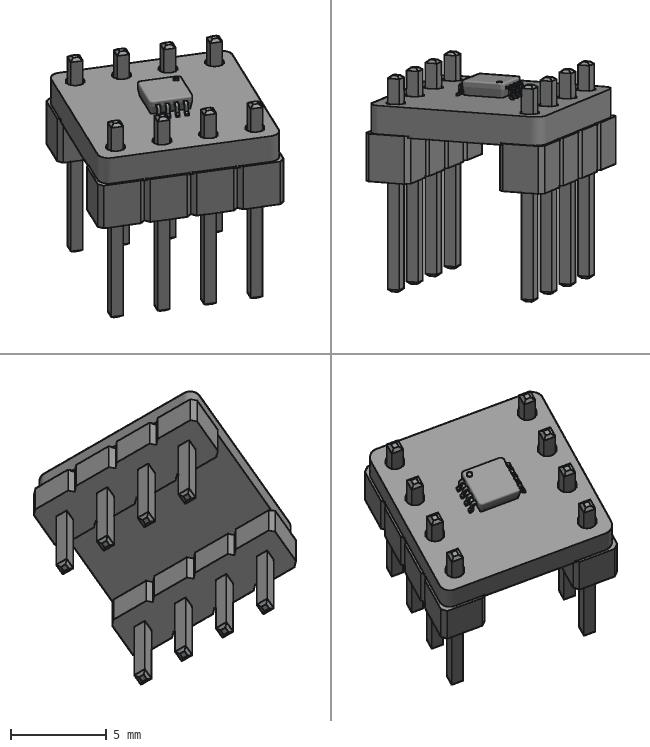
import cadquery as cq
import math

pitch = 2.54
pins_per_row = 4
row_x = 1.5 * pitch
pin_ys = [(i - (pins_per_row - 1) / 2) * pitch for i in range(pins_per_row)]

board_size = 9.9
board_thickness = 1.62
board_corner_radius = 0.6
board_hole_diameter = 1.0

block_height = pitch
block_chamfer = pitch / 10
block_sink = 0.1
block_bottom = block_sink - block_height
pin_width = 0.66
pin_tip_width = 0.3
pin_tip_height = 0.15
pin_below_block = 6.0
pin_above_block = 3.0
pin_bottom = block_bottom - pin_below_block
pin_length = pin_below_block + block_height + pin_above_block

chip_length = 2.42
chip_width = 2.4
chip_corner_radius = 0.2
chip_bottom = 0.15
chip_parting = 0.62
chip_top = 0.95
chip_top_fillet = 0.1
chip_draft_angle = 13.0
mark_diameter = 0.3
mark_offset = 0.85
mark_depth = 0.05

leads_per_side = 4
lead_pitch = 0.5
lead_width = 0.2
lead_thickness = 0.1
lead_leg_tilt = math.radians(4.0)
lead_bend_radius = 0.18
lead_knee_x = 1.49
lead_knee_z = 0.24
lead_tip_x = 1.61
lead_tip_top = 0.144
lead_bottom = 0.04
lead_embed = 0.2


def make_block_row():
    """Row of chamfered square blocks that carries one row of pins, centred on X = 0."""
    row = None
    for y in pin_ys:
        block = (
            cq.Workplane("XY", origin=(0, y, block_bottom))
            .rect(pitch, pitch)
            .extrude(block_height)
            .edges("|Z")
            .chamfer(block_chamfer)
        )
        row = block if row is None else row.union(block)
    return row


def make_pin(y):
    """Square pin with a tapered tip at each end."""
    shaft_length = pin_length - 2 * pin_tip_height
    shaft_bottom = pin_bottom + pin_tip_height
    shaft_top = shaft_bottom + shaft_length
    shaft = cq.Workplane("XY", origin=(0, y, shaft_bottom)).rect(pin_width, pin_width).extrude(shaft_length)
    for shaft_end, tip_end in ((shaft_bottom, pin_bottom), (shaft_top, pin_bottom + pin_length)):
        tip = (
            cq.Workplane("XY", origin=(0, y, shaft_end))
            .rect(pin_width, pin_width)
            .workplane(offset=tip_end - shaft_end)
            .rect(pin_tip_width, pin_tip_width)
            .loft(ruled=True)
        )
        shaft = shaft.union(tip)
    return shaft


def make_header(x):
    """One pin header: a row of blocks with its pins."""
    header = make_block_row()
    for y in pin_ys:
        header = header.union(make_pin(y))
    return header.translate((x, 0, 0))


def make_board():
    """Board with a clearance hole for each pin and a shallow recess for each block row."""
    board = (
        cq.Workplane("XY")
        .rect(board_size, board_size)
        .extrude(board_thickness)
        .edges("|Z")
        .fillet(board_corner_radius)
    )
    for x in (-row_x, row_x):
        holes = (
            cq.Workplane("XY")
            .pushPoints([(x, y) for y in pin_ys])
            .circle(board_hole_diameter / 2)
            .extrude(board_thickness)
        )
        board = board.cut(holes).cut(make_block_row().translate((x, 0, 0)))
    return board


def make_lead(y):
    """Gull-wing lead on the +X side of the chip: a bend, a slightly splayed leg and a short foot."""
    top_z = chip_parting + lead_thickness
    root_x = chip_length / 2 - lead_embed
    bend_turn = math.pi / 2 - lead_leg_tilt
    bend_z = top_z - lead_bend_radius
    bend_end_z = bend_z + lead_bend_radius * math.cos(bend_turn)
    bend_end_x = lead_knee_x - (bend_end_z - lead_knee_z) * math.tan(lead_leg_tilt)
    bend_x = bend_end_x - lead_bend_radius * math.sin(bend_turn)

    def bend_point(radius, turn):
        return (bend_x + radius * math.sin(turn), bend_z + radius * math.cos(turn))

    inner_radius = lead_bend_radius - lead_thickness
    heel_x = lead_knee_x - lead_thickness / math.cos(lead_leg_tilt)
    heel_width = lead_tip_x - heel_x
    heel_height = lead_knee_z - lead_bottom
    heel_mid = (
        lead_tip_x - heel_width * math.sin(math.pi / 4),
        lead_knee_z - heel_height * math.cos(math.pi / 4),
    )
    return (
        cq.Workplane("XZ", origin=(0, y + lead_width / 2, 0))
        .moveTo(root_x, top_z)
        .lineTo(bend_x, top_z)
        .threePointArc(bend_point(lead_bend_radius, bend_turn / 2), bend_point(lead_bend_radius, bend_turn))
        .lineTo(lead_knee_x, lead_knee_z)
        .lineTo(lead_tip_x, lead_tip_top)
        .lineTo(lead_tip_x, lead_bottom)
        .threePointArc(heel_mid, (heel_x, lead_knee_z))
        .lineTo(*bend_point(inner_radius, bend_turn))
        .threePointArc(bend_point(inner_radius, bend_turn / 2), (bend_x, chip_parting))
        .lineTo(root_x, chip_parting)
        .close()
        .extrude(lead_width)
    )


def make_chip():
    """Moulded package with a tapered lower half, a pin 1 mark and a row of leads on each side."""
    outline = cq.Sketch().rect(chip_length, chip_width).vertices().fillet(chip_corner_radius)
    parting = cq.Workplane("XY", origin=(0, 0, chip_parting)).placeSketch(outline)
    upper = parting.extrude(chip_top - chip_parting).faces(">Z").edges().fillet(chip_top_fillet)
    lower = parting.extrude(chip_bottom - chip_parting, taper=chip_draft_angle)
    mark = (
        cq.Workplane("XY", origin=(-mark_offset, mark_offset, chip_top))
        .circle(mark_diameter / 2)
        .extrude(-mark_depth)
    )
    chip = upper.union(lower).cut(mark)
    for i in range(leads_per_side):
        lead = make_lead((i - (leads_per_side - 1) / 2) * lead_pitch)
        chip = chip.union(lead).union(lead.mirror("YZ"))
    return chip.translate((0, 0, board_thickness))


board = make_board()
headers = [make_header(x) for x in (-row_x, row_x)]
chip = make_chip()

result = cq.Compound.makeCompound([board.val(), *[header.val() for header in headers], chip.val()])